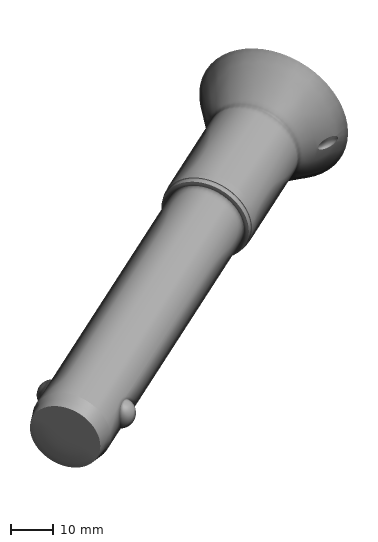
import cadquery as cq
import math


total_length = 130.1
head_length = 43.1
shank_length = total_length - head_length

rim_radius = 19.0
rim_round_radius = 0.5
flare_half_angle = math.radians(30.5)
neck_fillet_radius = 1.5
sleeve_radius = 11.6
end_ring_tip_radius = 11.5
end_ring_length = 2.0
collar_radius = 11.2
collar_length = 1.3

shank_radius = 10.0
tip_radius = 9.0
taper_length = 4.0

ball_radius = 3.7
ball_reach = 12.4
ball_to_tip = 13.2

lanyard_hole_diameter = 3.0
lanyard_hole_offset = 16.0


def make_head():
    """Stack the turned sections of the head, from the shoulder up to the rim."""
    rim_front = head_length - rim_round_radius
    fillet_center_radius = sleeve_radius + neck_fillet_radius
    flare_base_radius = fillet_center_radius - neck_fillet_radius * math.cos(flare_half_angle)
    flare_base = rim_front - (rim_radius - flare_base_radius) / math.tan(flare_half_angle)
    sleeve_top = flare_base - neck_fillet_radius * math.sin(flare_half_angle)
    fillet_middle = (
        fillet_center_radius - neck_fillet_radius * math.cos(flare_half_angle / 2),
        sleeve_top + neck_fillet_radius * math.sin(flare_half_angle / 2),
    )
    sleeve_bottom = collar_length + end_ring_length
    profile = (
        cq.Workplane("XY")
        .moveTo(0, 0)
        .lineTo(collar_radius, 0)
        .lineTo(collar_radius, collar_length)
        .lineTo(end_ring_tip_radius, collar_length)
        .lineTo(sleeve_radius, sleeve_bottom)
        .lineTo(sleeve_radius, sleeve_top)
        .threePointArc(fillet_middle, (flare_base_radius, flare_base))
        .lineTo(rim_radius, rim_front)
        .radiusArc((rim_radius - rim_round_radius, head_length), -rim_round_radius)
        .lineTo(0, head_length)
        .close()
    )
    return profile.revolve(360, (0, 0, 0), (0, 1, 0))


def make_shank():
    """Turn the cylindrical shank and its tapered tip."""
    profile = (
        cq.Workplane("XY")
        .moveTo(0, 0)
        .lineTo(shank_radius, 0)
        .lineTo(shank_radius, taper_length - shank_length)
        .lineTo(tip_radius, -shank_length)
        .lineTo(0, -shank_length)
        .close()
    )
    return profile.revolve(360, (0, 0, 0), (0, 1, 0))


def make_ball(side):
    """Make the locking ball on the +X (side = 1) or -X (side = -1) side."""
    center_x = side * (ball_reach - ball_radius)
    center_y = ball_to_tip - shank_length
    return cq.Workplane("XY").sphere(ball_radius).translate((center_x, center_y, 0))


def make_lanyard_hole():
    """Make the cutter for the hole parallel to the pin axis."""
    return (
        cq.Workplane("XZ", origin=(lanyard_hole_offset, head_length, 0))
        .circle(lanyard_hole_diameter / 2)
        .extrude(head_length)
    )


result = make_head().union(make_shank())
for side in (-1, 1):
    result = result.union(make_ball(side))
result = result.cut(make_lanyard_hole())